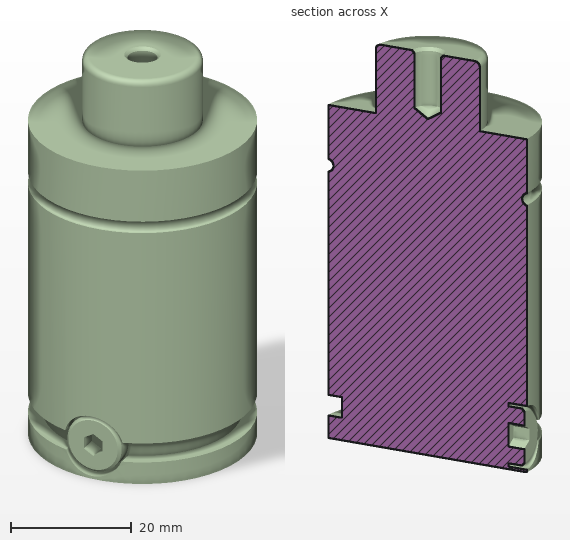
import cadquery as cq
total_height = 70.0
body_diameter = 38.0
body_height = 57.95
rod_diameter = 20.0
rod_edge_radius = 1.05
body_radius = body_diameter / 2
rod_radius = rod_diameter / 2

round_groove_bottom = 46.4
round_groove_width = 2.1
round_groove_depth = 0.9

clamp_groove_bottom = 4.0
clamp_groove_width = 3.5
clamp_groove_diameter = 33.0

rod_hole_diameter = 5.0
rod_hole_mouth_diameter = 6.0
rod_hole_depth = 10.0
drill_tip_height = rod_hole_diameter / 2 * 0.6

plug_height = 6.0
plug_diameter = 10.0
plug_chamfer = 0.5
plug_face_distance = 18.5
recess_diameter = 11.0
recess_floor_distance = 15.5
hex_across_flats = 3.5
hex_depth = 3.0


def make_body():
    """Revolve the grooved cylinder together with the rod."""
    round_groove_top = round_groove_bottom + round_groove_width
    round_groove_middle = round_groove_bottom + round_groove_width / 2
    clamp_groove_top = clamp_groove_bottom + clamp_groove_width
    clamp_groove_radius = clamp_groove_diameter / 2
    profile = (
        cq.Workplane("XZ")
        .lineTo(body_radius, 0)
        .lineTo(body_radius, clamp_groove_bottom)
        .lineTo(clamp_groove_radius, clamp_groove_bottom)
        .lineTo(clamp_groove_radius, clamp_groove_top)
        .lineTo(body_radius, clamp_groove_top)
        .lineTo(body_radius, round_groove_bottom)
        .threePointArc(
            (body_radius - round_groove_depth, round_groove_middle),
            (body_radius, round_groove_top),
        )
        .lineTo(body_radius, body_height)
        .lineTo(rod_radius, body_height)
        .lineTo(rod_radius, total_height - rod_edge_radius)
        .radiusArc((rod_radius - rod_edge_radius, total_height), -rod_edge_radius)
        .lineTo(0, total_height)
        .close()
    )
    return profile.revolve(360, (0, 0, 0), (0, 1, 0))


def make_rod_hole():
    """Revolve the drilled hole with its countersunk mouth and conical end."""
    hole_radius = rod_hole_diameter / 2
    mouth_radius = rod_hole_mouth_diameter / 2
    mouth_depth = mouth_radius - hole_radius
    hole_bottom = total_height - rod_hole_depth
    profile = (
        cq.Workplane("XZ")
        .moveTo(0, total_height)
        .lineTo(mouth_radius, total_height)
        .lineTo(hole_radius, total_height - mouth_depth)
        .lineTo(hole_radius, hole_bottom)
        .lineTo(0, hole_bottom - drill_tip_height)
        .close()
    )
    return profile.revolve(360, (0, 0, 0), (0, 1, 0))


def plug_plane(distance):
    """Workplane on the plug axis, facing -Y at the given distance from the body axis."""
    return cq.Workplane("XZ", origin=(0, -distance, plug_height))


def make_recess():
    """Round cutter running from the recess floor to well outside the body."""
    cutter_length = body_radius
    return plug_plane(recess_floor_distance).circle(recess_diameter / 2).extrude(cutter_length)


def make_plug():
    """Chamfered plug reaching from inside the body, with a hexagonal socket."""
    root_distance = clamp_groove_diameter / 2 - plug_diameter / 2
    plug = (
        plug_plane(root_distance)
        .circle(plug_diameter / 2)
        .extrude(plug_face_distance - root_distance)
        .faces("<Y")
        .chamfer(plug_chamfer)
    )
    socket = (
        plug_plane(plug_face_distance - hex_depth)
        .polygon(6, hex_across_flats, circumscribed=True)
        .extrude(hex_depth)
    )
    return plug, socket


plug, socket = make_plug()
result = make_body().cut(make_rod_hole()).cut(make_recess()).union(plug).cut(socket)